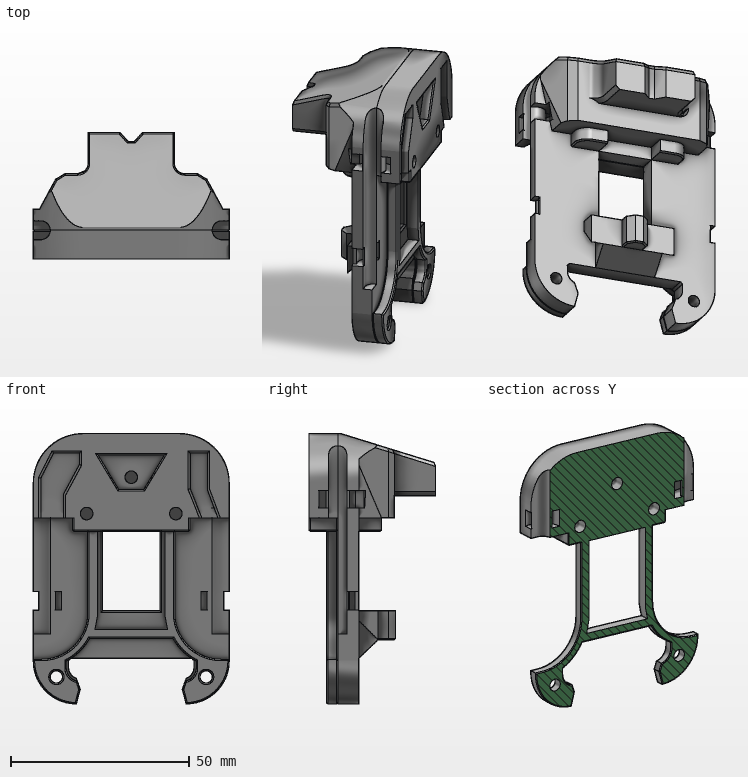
import cadquery as cq
import math


half_width = 27.5
height = 75.87
cap_front = -8.1
tail_back = 27.45
plate_back = 5.9
frame_front = -3.2
edge_chamfer = 0.4
margin = 0.1
overrun = 1.0

shoulder_radius = 14.0
head_bottom = 52.2
lip_bottom = 48.4
lip_half_width = 16.5

roof_start = 0.8
roof_slope = 0.309
flank_half_width = 25.75
flank_back_half_width = 21.2
flank_back = 14.3
shelf_half_width = 18.6
shelf_back = 15.85
tail_half_width = 12.1
tail_bottom = 58.4
tail_fillet = 3.0
tail_bottom_chamfer = 1.2
roof_chamfer_width = 0.45
roof_chamfer_drop = 0.95
vee_half_width = 3.2
vee_floor_half_width = 0.8
vee_depth = 2.6
undercut_top = 67.1
undercut_half_width = 22.3
rear_lip_back = 12.3
rear_lip_fillet = 3.8

lobe_radius = 12.1
lobe_tip = (14.3, 4.1)
relief_radius = 6.3 / 2
relief_center = (14.4, 10.2)
plate_heel_angle = -71
plate_relief_top = 12.2
plate_bottom = 12.8
plate_bottom_half_width = 16.9
window_half_width = 8.0
window_bottom = 26.2
window_chamfer = 0.5

ledge_half_width = 12.6
ledge_bottom = 18.0
ledge_back = 11.3
prong_half_width = 3.2
prong_back = 16.2
prong_chamfer = 2.0
gusset_half_width = 9.0

channel_x = 25.3
channel_radius = 2.6
channel_bottom = 19.6

upper_tie_bottom = 55.0
upper_tie_height = 4.9
upper_tie_inner_radius = 3.35
upper_tie_radius = 5.75
rear_pocket_radius = 7.9
rear_pocket_x = 22.5
lower_tie_x = 24.64
lower_tie_bottom = 26.3
lower_tie_height = 5.2
lower_tie_inner_radius = 3.34
lower_tie_radius = 5.09
lower_notch_x = 26.0

lobe_hole_diameter = 3.4
lobe_hole_rim_diameter = 4.3
lobe_hole = (21.0, 7.6)
cap_hole_diameter = 3.5
cap_side_hole = (12.5, 53.4)
cap_top_hole = (0.0, 63.6)

leg_outer = 12.2
leg_inner = 9.45
leg_bend_radius = 13.0
leg_lower_edge = 12.55
crossbar_top = 20.9
crossbar_bottom = 18.4
crossbar_half_width = 11.7
opening_flare_top = 24.7
opening_flare_half_width = 10.2
frame_relief_radius = relief_radius + 0.7
frame_heel_angle = -79.5
frame_relief_top = 12.0

left_pocket_depth = 1.9
right_pocket_depth = 2.8
pocket_wall_run = 0.65
pocket_open_end = 50.0
recess_depth = 2.8
recess_top = 70.2
recess_bottom = 59.7
recess_top_half_width = 10.0
recess_bottom_half_width = 3.7

left_pocket = [
    (-26.0, pocket_open_end),
    (-26.0, 63.5),
    (-22.2, 71.0),
    (-13.9, 71.0),
    (-13.9, 67.0),
    (-18.4, 58.6),
    (-18.4, pocket_open_end),
]
right_pocket = [
    (20.0, pocket_open_end),
    (15.9, 60.2),
    (15.9, 71.0),
    (22.0, 71.0),
    (22.0, 60.2),
    (25.8, pocket_open_end),
]


def upright(y=0.0):
    """Sketch plane facing the front at depth y; positive extrusion runs forward."""
    return cq.Workplane("XZ", origin=(0, y, 0))


def box(x_range, y_range, z_range):
    size = [high - low for low, high in (x_range, y_range, z_range)]
    corner = (x_range[0], y_range[0], z_range[0])
    return cq.Workplane("XY").box(*size, centered=False).translate(corner)


def on_both_sides(shape):
    return shape.union(shape.mirror("YZ"))


def head_prism(front, back, bottom):
    """Round-shouldered block across the full width."""
    return (
        upright(back)
        .moveTo(-half_width, bottom)
        .lineTo(half_width, bottom)
        .lineTo(half_width, height - shoulder_radius)
        .radiusArc((half_width - shoulder_radius, height), -shoulder_radius)
        .lineTo(shoulder_radius - half_width, height)
        .radiusArc((-half_width, height - shoulder_radius), -shoulder_radius)
        .close()
        .extrude(back - front)
    )


def relief_point(radius, angle):
    """Point on the round relief of the right-hand lobe."""
    x = relief_center[0] + radius * math.cos(math.radians(angle))
    z = relief_center[1] + radius * math.sin(math.radians(angle))
    return (x, z)


def lobe_edge(sketch, radius, heel_angle):
    """Continue a right-hand outline from the side, round the lobe and into its relief."""
    return (
        sketch.lineTo(half_width, lobe_radius)
        .radiusArc((half_width - lobe_radius, 0), lobe_radius)
        .lineTo(*lobe_tip)
        .lineTo(*relief_point(radius, heel_angle))
        .threePointArc(relief_point(radius, heel_angle / 2), relief_point(radius, 0))
    )


def channels():
    """Round-bottomed channels that open to the sides and run out at the top."""
    z_range = (channel_bottom, height + overrun)
    y_range = (-channel_radius, channel_radius)
    slot = box((channel_x, half_width + overrun), y_range, z_range)
    bore = (
        cq.Workplane("XY", origin=(channel_x, 0, channel_bottom))
        .circle(channel_radius)
        .extrude(z_range[1] - channel_bottom)
    )
    return on_both_sides(slot.union(bore))


def tie_passages(x, bottom, tall, inner_radius, radius):
    """Ring-shaped cable tie passages around the channels."""
    ring = cq.Workplane("XY", origin=(x, 0, bottom)).circle(radius).circle(inner_radius).extrude(tall)
    return on_both_sides(ring)


def side_notches(x, back, bottom, tall):
    """Notches in the sides of the rear housing."""
    return on_both_sides(box((x, half_width + overrun), (0, back), (bottom, bottom + tall)))


def upper_tie_passages(radius):
    return tie_passages(channel_x, upper_tie_bottom, upper_tie_height, upper_tie_inner_radius, radius)


def lower_tie_openings():
    """Passages through the plate together with their notches in its sides."""
    rings = tie_passages(
        lower_tie_x, lower_tie_bottom, lower_tie_height, lower_tie_inner_radius, lower_tie_radius
    )
    return rings.union(side_notches(lower_notch_x, plate_back, lower_tie_bottom, lower_tie_height))


def rear_tie_pockets():
    """Wider part of the upper passages, open through the flanks of the head."""
    sides = side_notches(rear_pocket_x, rear_lip_back, upper_tie_bottom, upper_tie_height)
    return upper_tie_passages(rear_pocket_radius).intersect(sides)


def lobe_holes():
    """Through holes with a small countersink at the front."""
    centers = [(side * lobe_hole[0], lobe_hole[1]) for side in (-1, 1)]
    depth = plate_back - frame_front
    radius = lobe_hole_diameter / 2
    rim_radius = lobe_hole_rim_diameter / 2
    bores = upright(plate_back).pushPoints(centers).circle(radius).extrude(depth)
    rims = upright(frame_front).pushPoints(centers).circle(rim_radius).extrude(radius - rim_radius, taper=45)
    return bores.union(rims)


def plate():
    """Flat back plate with two hooked lobes at the bottom; its top reaches into the head."""
    outline = (
        upright(plate_back)
        .moveTo(0, plate_bottom)
        .lineTo(0, head_bottom + plate_back)
        .lineTo(half_width, head_bottom + plate_back)
    )
    half = (
        lobe_edge(outline, relief_radius, plate_heel_angle)
        .lineTo(relief_center[0] + relief_radius, plate_relief_top)
        .lineTo(plate_bottom_half_width, plate_bottom)
        .close()
        .extrude(plate_back)
    )
    return on_both_sides(half)


def head():
    """Sloped head whose plan narrows in steps to a tail."""
    half_plan = (
        cq.Workplane("XY", origin=(0, 0, head_bottom))
        .lineTo(half_width, 0)
        .lineTo(half_width, plate_back)
        .lineTo(flank_half_width, plate_back)
        .lineTo(flank_back_half_width, flank_back)
        .lineTo(shelf_half_width, shelf_back)
        .lineTo(tail_half_width, shelf_back)
        .lineTo(tail_half_width, tail_back)
        .lineTo(vee_half_width, tail_back)
        .lineTo(vee_floor_half_width, tail_back - vee_depth)
        .lineTo(0, tail_back - vee_depth)
        .close()
        .extrude(height - head_bottom)
    )
    inner_corner = cq.selectors.BoxSelector(
        (tail_half_width - margin, shelf_back - margin, head_bottom),
        (tail_half_width + margin, shelf_back + margin, height),
    )
    plan = on_both_sides(half_plan.edges(inner_corner).fillet(tail_fillet))
    body = head_prism(0, tail_back, head_bottom).intersect(plan)

    above_roof = box((-half_width, half_width), (0, 2 * tail_back), (0, height))
    roof_angle = math.degrees(math.atan(roof_slope))
    above_roof = above_roof.rotate((0, 0, 0), (1, 0, 0), -roof_angle).translate((0, roof_start, height))
    body = body.cut(above_roof)

    roof_middle = (0, shelf_back, height - roof_slope * (shelf_back - roof_start))
    roof = body.faces(cq.selectors.NearestToPointSelector(roof_middle))
    rear_rim = cq.selectors.BoxSelector(
        (-half_width, rear_lip_back, tail_bottom),
        (half_width, tail_back + margin, height),
    )
    body = roof.edges(rear_rim).chamfer(roof_chamfer_drop, roof_chamfer_width)

    below_tail = box((-half_width, half_width), (shelf_back, tail_back), (head_bottom, tail_bottom))
    body = body.cut(below_tail)
    tail_edges = cq.selectors.BoxSelector(
        (-tail_half_width - margin, shelf_back + tail_fillet, tail_bottom - margin),
        (tail_half_width + margin, tail_back, tail_bottom + margin),
    )
    body = body.edges(tail_edges).edges("|Y").chamfer(tail_bottom_chamfer)

    flank_undercut = (
        upright(tail_back)
        .moveTo(undercut_half_width, head_bottom)
        .lineTo(flank_half_width, undercut_top)
        .lineTo(half_width, undercut_top)
        .lineTo(half_width, head_bottom)
        .close()
        .extrude(tail_back - plate_back)
    )
    return body.cut(on_both_sides(flank_undercut))


def rear_lip():
    """Two short lips under the head, one on each side of the window."""
    lip = box((-lip_half_width, lip_half_width), (plate_back, rear_lip_back), (lip_bottom, head_bottom))
    lip = lip.edges("|Z and >Y").fillet(rear_lip_fillet)
    lip = lip.faces("<Z").edges("not <Y").chamfer(edge_chamfer)
    gap = box((-window_half_width, window_half_width), (plate_back, rear_lip_back), (lip_bottom, head_bottom))
    return lip.cut(gap)


def ledge():
    """Ledge below the window with a central prong, carried by a narrower gusset."""
    prong = box(
        (-prong_half_width, prong_half_width),
        (plate_back, prong_back),
        (ledge_bottom, window_bottom),
    )
    prong = prong.edges("|Z and >Y").chamfer(prong_chamfer)
    prong = prong.faces("<Z").edges("not <Y").chamfer(edge_chamfer)
    reach = ledge_back - plate_back
    shelf = (
        cq.Workplane("YZ", origin=(-ledge_half_width, 0, 0))
        .polyline([
            (plate_back, ledge_bottom + reach),
            (ledge_back, ledge_bottom),
            (ledge_back, window_bottom),
            (plate_back, window_bottom),
        ])
        .close()
        .extrude(2 * ledge_half_width)
    )
    gusset = (
        cq.Workplane("YZ", origin=(-gusset_half_width, 0, 0))
        .polyline([
            (plate_back, plate_bottom),
            (ledge_back, ledge_bottom),
            (plate_back, ledge_bottom + reach),
        ])
        .close()
        .extrude(2 * gusset_half_width)
    )
    return shelf.union(gusset).union(prong)


def window():
    """Rectangular opening with a chamfered front rim."""
    z_range = (window_bottom, lip_bottom)
    opening = box((-window_half_width, window_half_width), (0, plate_back), z_range)
    flare = (
        upright(0)
        .center(0, (window_bottom + lip_bottom) / 2)
        .rect(2 * (window_half_width + window_chamfer), lip_bottom - window_bottom + 2 * window_chamfer)
        .extrude(-window_chamfer, taper=45)
    )
    return opening.union(flare)


rear_housing = (
    plate()
    .union(head())
    .union(rear_lip())
    .union(ledge())
    .cut(window())
    .cut(channels())
    .cut(lower_tie_openings())
    .cut(upper_tie_passages(upper_tie_radius))
    .cut(rear_tie_pockets())
    .cut(lobe_holes())
)


def frame():
    """Two curved legs joined by a crossbar, lying on the plate."""
    bend_center = (leg_outer + leg_bend_radius, leg_lower_edge + leg_bend_radius)
    diagonal = math.radians(225)
    bend_middle = (
        bend_center[0] + leg_bend_radius * math.cos(diagonal),
        bend_center[1] + leg_bend_radius * math.sin(diagonal),
    )
    inner_radius = math.dist(bend_center, (crossbar_half_width, crossbar_bottom))
    relief_end = relief_point(frame_relief_radius, 0)
    outline = (
        upright(0)
        .moveTo(0, crossbar_bottom)
        .lineTo(0, head_bottom)
        .lineTo(leg_outer, head_bottom)
        .lineTo(leg_outer, bend_center[1])
        .threePointArc(bend_middle, (bend_center[0], leg_lower_edge))
        .lineTo(half_width, leg_lower_edge)
    )
    half = (
        lobe_edge(outline, frame_relief_radius, frame_heel_angle)
        .lineTo(relief_end[0], frame_relief_top)
        .lineTo(plate_bottom_half_width, plate_bottom)
        .radiusArc((crossbar_half_width, crossbar_bottom), inner_radius)
        .close()
        .extrude(-frame_front)
    )
    opening = (
        upright(0)
        .moveTo(0, crossbar_top)
        .lineTo(opening_flare_half_width, crossbar_top)
        .lineTo(leg_inner, opening_flare_top)
        .lineTo(leg_inner, lip_bottom)
        .lineTo(0, lip_bottom)
        .close()
        .extrude(-frame_front)
    )
    whole = on_both_sides(half)
    whole = whole.faces("<Y or >Y").edges().chamfer(edge_chamfer)
    return whole.cut(on_both_sides(opening))


def cap():
    """Block over the head with a narrower lip hanging below it."""
    lip = box((-lip_half_width, lip_half_width), (cap_front, 0), (lip_bottom, head_bottom + overrun))
    lip = lip.edges("|Z or <Z").chamfer(edge_chamfer)
    return head_prism(cap_front, 0, head_bottom).union(lip)


def pocket(outline, depth):
    """Cable pocket with tapered walls, open at the bottom."""
    wall_angle = math.degrees(math.atan(pocket_wall_run / depth))
    return upright(cap_front).polyline(outline).close().extrude(-depth, taper=wall_angle)


def recess():
    """Recess around the upper screw, with a chamfered rim."""
    rim = (
        upright(cap_front)
        .polyline([
            (-recess_top_half_width, recess_top),
            (recess_top_half_width, recess_top),
            (recess_bottom_half_width, recess_bottom),
            (-recess_bottom_half_width, recess_bottom),
        ])
        .close()
    )
    bevel = rim.extrude(-edge_chamfer, taper=45)
    walls = bevel.faces(">Y").wires().toPending().workplane().extrude(recess_depth - edge_chamfer)
    return bevel.union(walls)


def cap_holes():
    """Screw holes through the cap, closed behind by the rear housing."""
    side_x, side_z = cap_side_hole
    centers = [cap_top_hole, (side_x, side_z), (-side_x, side_z)]
    return upright(0).pushPoints(centers).circle(cap_hole_diameter / 2).extrude(-cap_front)


front_cover = (
    frame()
    .union(cap())
    .cut(pocket(left_pocket, left_pocket_depth))
    .cut(pocket(right_pocket, right_pocket_depth))
    .cut(recess())
    .cut(cap_holes())
    .cut(channels())
    .cut(upper_tie_passages(upper_tie_radius))
    .cut(lobe_holes())
)

result = cq.Compound.makeCompound([rear_housing.val(), front_cover.val()])